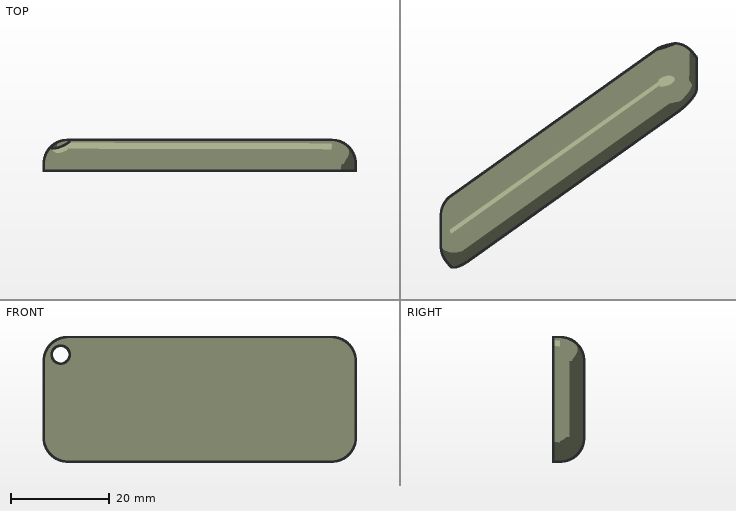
import cadquery as cq

length = 63.5
thickness = 6.35
height = 25.4
corner_radius = 4.95
rim_radius = corner_radius

hole_diameter = 3.6
hole_from_side = 3.5
hole_from_top = 3.6

plate = (
    cq.Workplane("XZ")
    .rect(length, height)
    .extrude(thickness / 2, both=True)
    .edges("|Y")
    .fillet(corner_radius)
    .faces(">Y")
    .edges()
    .fillet(rim_radius)
)

hole = (
    cq.Workplane("XZ")
    .center(hole_from_side - length / 2, height / 2 - hole_from_top)
    .circle(hole_diameter / 2)
    .extrude(thickness, both=True)
)

result = plate.cut(hole)